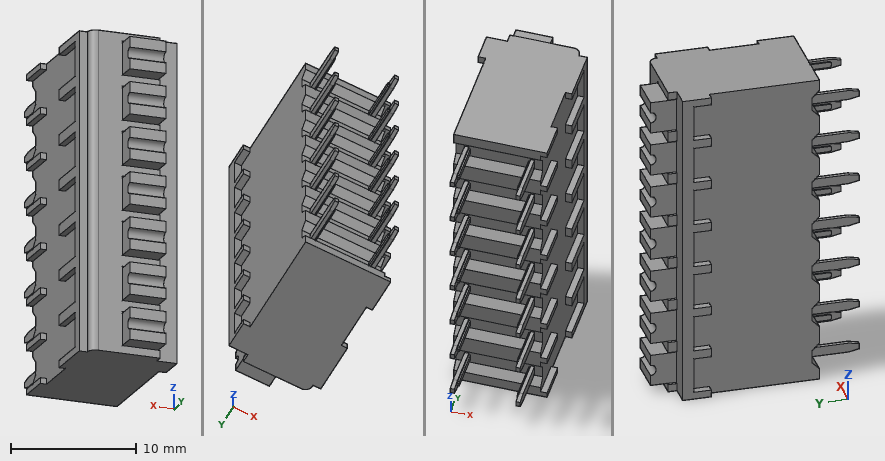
import cadquery as cq


POLES = 7
PITCH = 3.81
HEIGHT = 27.05
FIRST_POLE_Z = (HEIGHT - (POLES - 1) * PITCH) / 2
POLE_CENTRES = [FIRST_POLE_Z + i * PITCH for i in range(POLES)]
BOUNDARIES = [FIRST_POLE_Z + (i - 0.5) * PITCH for i in range(POLES + 1)]

WIDTH = 8.4
LEFT_OVERHANG = 0.62
RIGHT_OVERHANG = 0.55
CORE_LEFT = LEFT_OVERHANG
CORE_RIGHT = WIDTH - RIGHT_OVERHANG
SHOULDER_Y = 11.5
LEDGE_HEIGHT = 0.73
LEDGE_Y = SHOULDER_Y + LEDGE_HEIGHT
LEDGE_LEFT = 1.73
LEDGE_RIGHT = 7.69
LEDGE_RADIUS = 0.65

RAIL_DEPTH = 0.92
LEFT_TAB_DEPTH = 2.38
LEFT_TAB_HEIGHT = 0.73
RIGHT_TAB_DEPTH = 4.38
RIGHT_TAB_HEIGHT = 0.9
FRONT_RIB_DEPTH = 3.03
FRONT_RIB_HEIGHT = 0.55
END_TAB_HEIGHT = 0.62
END_RIB_HEIGHT = 0.5

GROOVE_DEPTH = 0.62
GROOVE_FLOOR_HEIGHT = 1.08
GROOVE_MOUTH_HEIGHT = GROOVE_FLOOR_HEIGHT + 2 * GROOVE_DEPTH

LEVER_LEFT = 1.8
LEVER_WIDTH = 3.08
LEVER_HEIGHT = 2.73
LEVER_LENGTH = 2.16
LEVER_NOTCH_RADIUS = 0.45
LEVER_CLEARANCE = 0.08

PIN_LENGTH = 3.5
BLADE_WIDTH = 0.35
BLADE_HEIGHT = 0.8
BLADE_TIP_HEIGHT = 0.45
BLADE_TAPER = 0.87
STRIP_WIDTH = 0.14
STRIP_HEIGHT = 0.45
STRIP_TIP_HEIGHT = 0.22
STRIP_TAPER = (STRIP_HEIGHT - STRIP_TIP_HEIGHT) / 2
STRIP_SETBACK = 0.8
LEFT_PIN_OUTER_X = 1.35
RIGHT_PIN_OUTER_X = 7.17


def box(x0, x1, y0, y1, z0, z1):
    """Box between two opposite corners."""
    return cq.Workplane("XY").box(x1 - x0, y1 - y0, z1 - z0, centered=False).translate((x0, y0, z0))


def side_prism(points, x0, x1):
    """Extrude a closed (y, z) outline from x0 to x1."""
    return cq.Workplane("YZ").workplane(offset=x0).polyline(points).close().extrude(x1 - x0)


def boundary_blocks(x0, x1, y0, y1, height, end_height):
    """Blocks centred on the pole boundaries; the two end ones sit flush with the housing ends."""
    blocks = box(x0, x1, y0, y1, 0, end_height)
    blocks = blocks.union(box(x0, x1, y0, y1, HEIGHT - end_height, HEIGHT))
    for z in BOUNDARIES[1:-1]:
        blocks = blocks.union(box(x0, x1, y0, y1, z - height / 2, z + height / 2))
    return blocks


def housing():
    core = box(CORE_LEFT, CORE_RIGHT, 0, SHOULDER_Y, 0, HEIGHT)
    ledge = box(LEDGE_LEFT, LEDGE_RIGHT, SHOULDER_Y, LEDGE_Y, 0, HEIGHT)
    ledge = ledge.edges("|Z and >X and >Y").fillet(LEDGE_RADIUS)
    rails = box(0, WIDTH, SHOULDER_Y - RAIL_DEPTH, SHOULDER_Y, 0, HEIGHT)
    left_tabs = boundary_blocks(
        0, CORE_LEFT, SHOULDER_Y - LEFT_TAB_DEPTH, SHOULDER_Y, LEFT_TAB_HEIGHT, END_TAB_HEIGHT)
    right_tabs = boundary_blocks(
        CORE_RIGHT, WIDTH, SHOULDER_Y - RIGHT_TAB_DEPTH, SHOULDER_Y, RIGHT_TAB_HEIGHT, END_TAB_HEIGHT)
    front_ribs = boundary_blocks(
        CORE_RIGHT, WIDTH, 0, FRONT_RIB_DEPTH, FRONT_RIB_HEIGHT, END_RIB_HEIGHT)
    return core.union(ledge).union(rails).union(left_tabs).union(right_tabs).union(front_ribs)


def groove(z):
    """Trapezoidal groove across the whole front face."""
    outline = [
        (0, z - GROOVE_MOUTH_HEIGHT / 2),
        (GROOVE_DEPTH, z - GROOVE_FLOOR_HEIGHT / 2),
        (GROOVE_DEPTH, z + GROOVE_FLOOR_HEIGHT / 2),
        (0, z + GROOVE_MOUTH_HEIGHT / 2),
    ]
    return side_prism(outline, 0, WIDTH)


def lever_slot(z):
    """Slot in the ledge around a lever, open to the left."""
    half = LEVER_HEIGHT / 2 + LEVER_CLEARANCE
    right = LEVER_LEFT + LEVER_WIDTH + LEVER_CLEARANCE
    return box(LEDGE_LEFT, right, SHOULDER_Y, LEDGE_Y, z - half, z + half)


def lever(z):
    """Lever block with a half-round notch across its back face."""
    right = LEVER_LEFT + LEVER_WIDTH
    back = SHOULDER_Y + LEVER_LENGTH
    block = box(LEVER_LEFT, right, SHOULDER_Y, back, z - LEVER_HEIGHT / 2, z + LEVER_HEIGHT / 2)
    notch = (
        cq.Workplane("YZ").workplane(offset=LEVER_LEFT)
        .center(back, z).circle(LEVER_NOTCH_RADIUS).extrude(LEVER_WIDTH)
    )
    return block.cut(notch)


def tapered_bar(x0, x1, z, tip_y, taper, height, tip_height):
    """Flat bar from the groove floor to tip_y, narrowing in Z over its last stretch."""
    outline = [
        (GROOVE_DEPTH, z - height / 2),
        (tip_y + taper, z - height / 2),
        (tip_y, z - tip_height / 2),
        (tip_y, z + tip_height / 2),
        (tip_y + taper, z + height / 2),
        (GROOVE_DEPTH, z + height / 2),
    ]
    return side_prism(outline, x0, x1)


def blade(x0, z):
    """Full-length part of a pin, starting at x0."""
    return tapered_bar(x0, x0 + BLADE_WIDTH, z, -PIN_LENGTH, BLADE_TAPER, BLADE_HEIGHT, BLADE_TIP_HEIGHT)


def strip(x0, z):
    """Shorter part of a pin, starting at x0."""
    tip_y = STRIP_SETBACK - PIN_LENGTH
    return tapered_bar(x0, x0 + STRIP_WIDTH, z, tip_y, STRIP_TAPER, STRIP_HEIGHT, STRIP_TIP_HEIGHT)


def pin_pair(z):
    """Left and right pins of one pole, their strips facing each other."""
    left_inner = LEFT_PIN_OUTER_X + BLADE_WIDTH
    right_inner = RIGHT_PIN_OUTER_X - BLADE_WIDTH
    left_pin = blade(LEFT_PIN_OUTER_X, z).union(strip(left_inner, z))
    right_pin = blade(right_inner, z).union(strip(right_inner - STRIP_WIDTH, z))
    return left_pin.union(right_pin)


result = housing()
for pole_z in POLE_CENTRES:
    result = result.cut(groove(pole_z)).cut(lever_slot(pole_z))
    result = result.union(lever(pole_z)).union(pin_pair(pole_z))